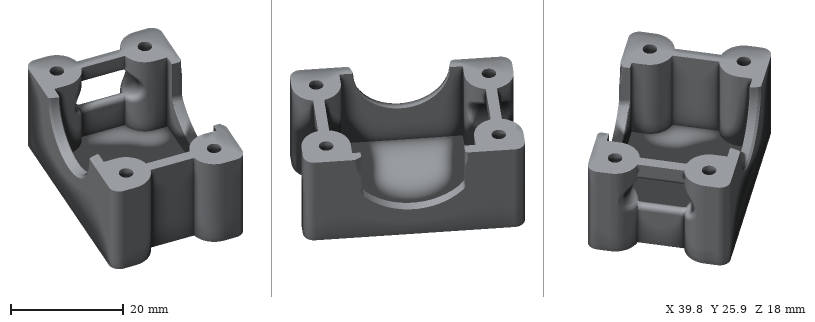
import cadquery as cq

length = 39.75
width = 25.9
height = 18.0

wall = 2.0
corner_radius = 2.0
boss_radius = 4.4
screw_hole_diameter = 2.6

boss_x = length / 2 - boss_radius
boss_y = width / 2 - boss_radius
boss_sides = [(side_x, side_y) for side_x in (-1, 1) for side_y in (-1, 1)]
boss_centers = [(side_x * boss_x, side_y * boss_y) for side_x, side_y in boss_sides]
end_wall_outer_x = boss_x + wall / 2
end_wall_inner_x = boss_x - wall / 2
back_y = width / 2
front_y = -back_y

front_mouth_radius = 9.25
front_lip_radius = 8.95
front_throat_radius = 8.6
front_lip_depth = 0.48
front_inner_chamfer = 0.2

back_center_x = 0.28
back_width = 18.55
back_arch_radius = 12.3
back_corner_radius = 1.6
back_inner_chamfer = 0.15
flare_center_x = 0.6
flare_radius = 10.15
flare_throat_radius = 8.95
flare_depth = 0.75

window_height = 6.0
window_flat_length = 7.0
window_center_z = 11.4
rim_land = 0.008
rim_radius = (wall - rim_land) / 2


def quarter_block(side_x, side_y, inward=False):
    """Square block filling one quadrant beside a boss axis, over the full height."""
    step_x = -side_x if inward else side_x
    return (
        cq.Workplane("XY")
        .center(side_x * boss_x + step_x * boss_radius / 2, side_y * (boss_y + boss_radius / 2))
        .rect(boss_radius, boss_radius)
        .extrude(height)
    )


def round_bosses():
    return cq.Workplane("XY").pushPoints(boss_centers).circle(boss_radius).extrude(height)


def outer_body():
    """Solid block, narrower between the bosses at both ends, with rounded corners."""
    body = (
        cq.Workplane("XY")
        .rect(2 * end_wall_outer_x, width)
        .extrude(height)
        .union(round_bosses())
    )
    for side_x, side_y in boss_sides:
        outer_x = ">X" if side_x > 0 else "<X"
        outer_y = ">Y" if side_y > 0 else "<Y"
        corner = quarter_block(side_x, side_y).edges("|Z").edges(outer_x).edges(outer_y)
        body = body.union(corner.fillet(corner_radius))
    return body


def window():
    """Rounded slot running in from -X through the end wall and the sides of two bosses."""
    return (
        cq.Workplane("YZ", origin=(-length / 2, 0, window_center_z))
        .slot2D(window_flat_length + window_height, window_height)
        .extrude(length / 2 - boss_x + boss_radius)
    )


def round_window_rims(body):
    """Round both rims of the window, so the end wall has full-round edges around it."""
    reach_y = (window_flat_length + window_height) / 2
    walls = cq.selectors.BoxSelector(
        (-length / 2, -reach_y, window_center_z - window_height),
        (-boss_x + boss_radius, reach_y, window_center_z + window_height),
    )
    return body.edges(walls).edges("not(|X)").edges("not(|Z)").fillet(rim_radius)


def cavity():
    """Interior space above the floor, leaving the four bosses standing."""
    space = (
        cq.Workplane("XY")
        .workplane(offset=wall)
        .rect(2 * end_wall_inner_x, width - 2 * wall)
        .extrude(height - wall)
        .cut(round_bosses())
    )
    for side_x, side_y in boss_sides:
        space = space.cut(quarter_block(side_x, side_y, inward=True))
    return space


def round_plug(profile, center_x):
    """Revolve (radius, y) points about an axis along Y at the height of the rim."""
    first_y = profile[0][1]
    last_y = profile[-1][1]
    return (
        cq.Workplane("XY", origin=(center_x, 0, height))
        .polyline([(0, first_y)] + profile + [(0, last_y)])
        .close()
        .revolve(360, (0, 0, 0), (0, 1, 0))
    )


def front_arch():
    inner_y = front_y + wall
    profile = [
        (front_mouth_radius, front_y),
        (front_lip_radius, front_y + front_lip_depth),
        (front_throat_radius, inner_y - front_inner_chamfer),
        (front_throat_radius + front_inner_chamfer, inner_y),
    ]
    return round_plug(profile, 0)


def upright_gap(gap_width):
    """Rim-high block filling the back wall between two upright sides."""
    return (
        cq.Workplane("XY")
        .center(back_center_x, back_y - wall / 2)
        .rect(gap_width, wall)
        .extrude(height)
    )


def back_arch():
    """Wide arch cut off by upright sides, with rounded lower corners and an inner chamfer."""
    inner_y = back_y - wall
    arch = round_plug([(back_arch_radius, inner_y), (back_arch_radius, back_y)], back_center_x)
    below_rim = cq.selectors.BoxSelector((-length, 0, 0), (length, width, height - back_corner_radius))
    opening = arch.intersect(upright_gap(back_width))
    opening = opening.edges("|Y").edges(below_rim).fillet(back_corner_radius)
    chamfer_profile = [
        (back_arch_radius + back_inner_chamfer, inner_y),
        (back_arch_radius, inner_y + back_inner_chamfer),
    ]
    chamfer = round_plug(chamfer_profile, back_center_x)
    return opening.union(chamfer.intersect(upright_gap(back_width - back_corner_radius)))


def back_flare():
    profile = [(flare_throat_radius, back_y - flare_depth), (flare_radius, back_y)]
    return round_plug(profile, flare_center_x)


def screw_holes():
    return cq.Workplane("XY").pushPoints(boss_centers).circle(screw_hole_diameter / 2).extrude(height)


result = (
    round_window_rims(outer_body().cut(cavity()).cut(window()))
    .cut(front_arch())
    .cut(back_arch())
    .cut(back_flare())
    .cut(screw_holes())
)